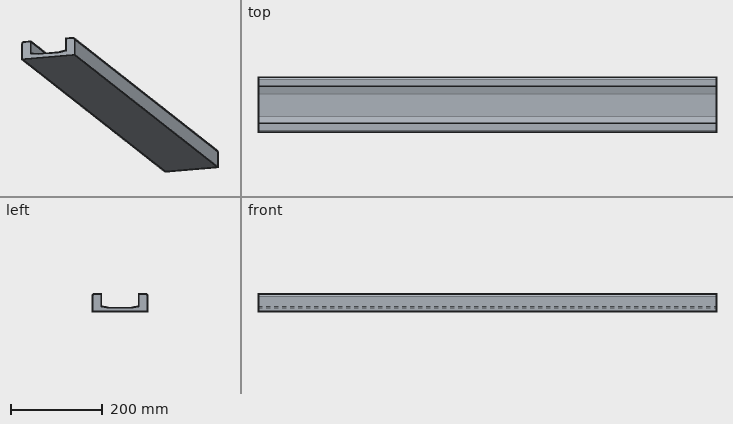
import cadquery as cq

length = 1000.0
width = 121.0
height = 39.0
wall_thickness = 20.0
floor_thickness = 9.0
floor_flat_width = 49.0
haunch_rise = 3.0
top_edge_radius = 5.0

outer_y = width / 2
inner_y = outer_y - wall_thickness
flat_y = floor_flat_width / 2
haunch_z = floor_thickness + haunch_rise


def channel_section():
    """U-shaped outline standing on Z = 0 and symmetric about Y = 0."""
    return (
        cq.Workplane("YZ", origin=(-length / 2, 0, 0))
        .moveTo(-outer_y, 0)
        .lineTo(outer_y, 0)
        .lineTo(outer_y, height)
        .lineTo(inner_y, height)
        .lineTo(inner_y, haunch_z)
        .lineTo(flat_y, floor_thickness)
        .lineTo(-flat_y, floor_thickness)
        .lineTo(-inner_y, haunch_z)
        .lineTo(-inner_y, height)
        .lineTo(-outer_y, height)
        .close()
    )


rail = channel_section().extrude(length)

for side in ("<Y", ">Y"):
    rail = rail.faces(side).edges(">Z").fillet(top_edge_radius)

result = rail